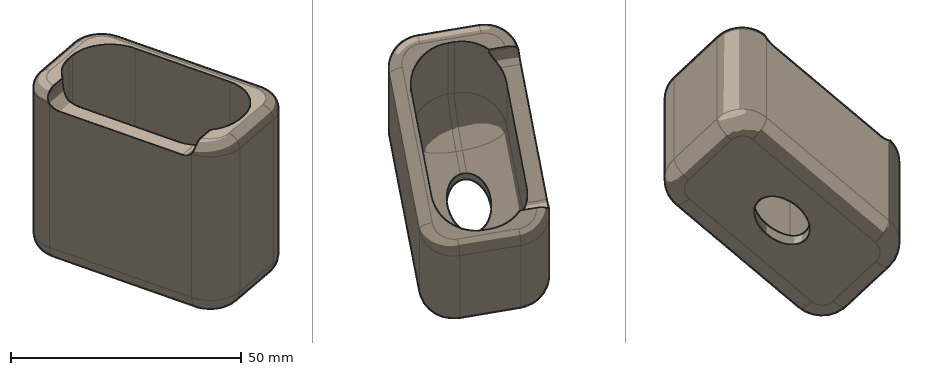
import cadquery as cq

length = 51.85
width = 28.7
height = 44.45
corner_radius = 7.55
top_rounding = 2.85
bottom_rounding = 4.3

wall = 3.85
cavity_radius = 9.8
cavity_length = length - 2 * wall
cavity_width = width - 2 * wall
flat_length = cavity_length - 2 * cavity_radius
flat_width = cavity_width - 2 * cavity_radius
rounding_height = wall + cavity_radius

hole_length = 13.9
hole_width = 9.55

notch_length = 38.05
notch_depth = 3.95
notch_radius = 3.05


def make_body():
    body = cq.Workplane("XY").box(length, width, height, centered=(True, True, False))
    body = body.edges("|Z").fillet(corner_radius)
    body = body.faces(">Z").edges().fillet(top_rounding)
    return body.faces("<Z").edges().fillet(bottom_rounding)


def make_cavity():
    """Upright rounded prism ending in a floor with fully rounded edges."""
    base = cq.Workplane("XY").workplane(offset=rounding_height)
    cavity = (
        base.rect(cavity_length, cavity_width)
        .extrude(height - rounding_height)
        .edges("|Z")
        .fillet(cavity_radius)
    )
    floor_block = (
        cq.Workplane("XY", origin=(0, 0, wall))
        .rect(flat_length, flat_width)
        .extrude(cavity_radius)
    )
    cavity = cavity.union(floor_block)

    for side in (-1, 1):
        long_edge = (
            cq.Workplane("YZ", origin=(-flat_length / 2, side * flat_width / 2, rounding_height))
            .circle(cavity_radius)
            .extrude(flat_length)
        )
        short_edge = (
            cq.Workplane("XZ", origin=(side * flat_length / 2, flat_width / 2, rounding_height))
            .circle(cavity_radius)
            .extrude(flat_width)
        )
        cavity = cavity.union(long_edge).union(short_edge)
    corners = (
        cq.Workplane("XY", origin=(0, 0, rounding_height))
        .rect(flat_length, flat_width, forConstruction=True)
        .vertices()
    )
    for corner in corners.vals():
        cavity = cavity.union(cq.Workplane("XY", origin=corner.toTuple()).sphere(cavity_radius))
    return cavity


def make_hole():
    return cq.Workplane("XY").ellipse(hole_length / 2, hole_width / 2).extrude(rounding_height)


def make_notch():
    """Round-bottomed channel from the front face to the middle of the cavity."""
    return (
        cq.Workplane("XZ")
        .center(0, height)
        .rect(notch_length, 2 * notch_depth)
        .extrude(width / 2)
        .edges("|Y and <Z")
        .fillet(notch_radius)
    )


result = make_body().cut(make_cavity()).cut(make_hole()).cut(make_notch())